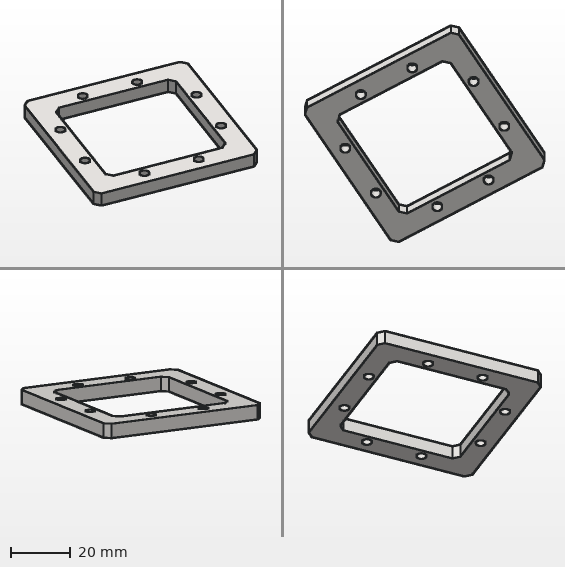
import cadquery as cq

outer_side = 60.0
thickness = 5.0
outer_chamfer = 2.0

window_side = 44.0
window_chamfer = 2.0

hole_diameter = 3.3
hole_spacing = 20.0
hole_row_offset = 25.0


def chamfered_square(side, chamfer):
    """Square prism on the XY plane, centred in X and Y, with cut corners."""
    return (
        cq.Workplane("XY")
        .rect(side, side)
        .extrude(thickness)
        .edges("|Z")
        .chamfer(chamfer)
    )


def screw_hole_centres():
    """Centres of the hole pairs along all four sides."""
    centres = []
    for row in (-hole_row_offset, hole_row_offset):
        for along in (-hole_spacing / 2, hole_spacing / 2):
            centres.append((along, row))
            centres.append((row, along))
    return centres


def screw_holes():
    """Cylinders that cut the through holes."""
    return (
        cq.Workplane("XY")
        .pushPoints(screw_hole_centres())
        .circle(hole_diameter / 2)
        .extrude(thickness)
    )


plate = chamfered_square(outer_side, outer_chamfer)
window = chamfered_square(window_side, window_chamfer)

result = plate.cut(window).cut(screw_holes())